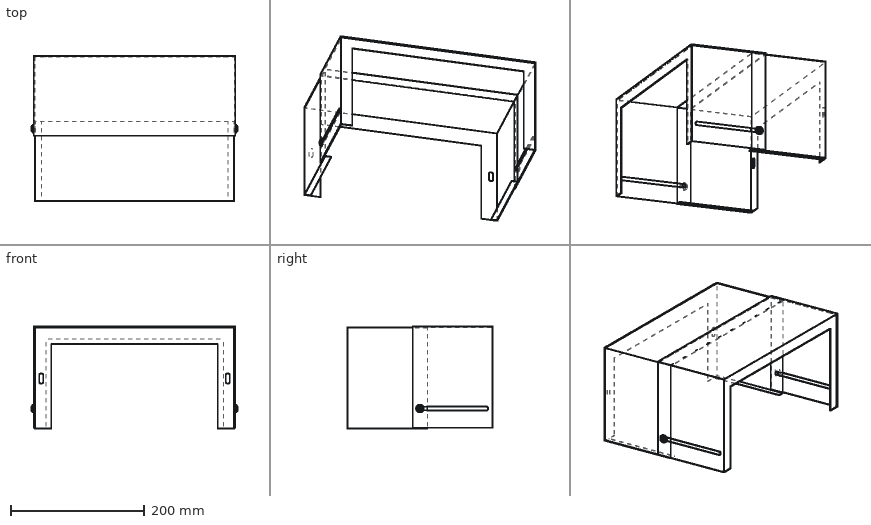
import cadquery as cq
import math

inner_sheet = 0.8
outer_sheet = 1.5
total_depth = 218.0
total_height = 153.0
cover_depth = 120.0
inner_half_width = 149.7
outer_bottom = 1.2
front_flange_width = 25.0
back_flange_width = 16.7
lip_width = 10.0

frame_hole_width = 6.2
frame_hole_height = 15.5
frame_hole_inset = 10.0
frame_hole_z = 75.0

slot_height = 5.5
slot_back_inset = 9.5

screw_span = 310.0
screw_inset = 11.0
screw_z = 30.0
shank_diameter = 5.0
washer_diameter = 11.8
washer_thickness = 1.5
head_diameter = 10.0
head_flat_diameter = 2.8
recess_length = 6.0
recess_width = 1.2
recess_depth = 1.0

outer_half_width = inner_half_width + outer_sheet
inner_height = total_height - outer_sheet
outer_front = total_depth - cover_depth
screw_y = outer_front + screw_inset
slot_back_y = total_depth - slot_back_inset
head_base_x = outer_half_width + washer_thickness
head_tip_x = screw_span / 2


def block(x_range, y_range, z_range):
    """Box between the given limits along each axis."""
    (x0, x1), (y0, y1), (z0, z1) = x_range, y_range, z_range
    return cq.Workplane("XY").box(x1 - x0, y1 - y0, z1 - z0, centered=False).translate((x0, y0, z0))


def rod(diameter, x_start, length):
    """Cylinder along +X on the screw axis."""
    return cq.Workplane("YZ", origin=(x_start, screw_y, screw_z)).circle(diameter / 2).extrude(length)


def make_outer_cover():
    """Rear cover: top, slotted side walls, and a frame around the rear opening."""
    half = outer_half_width
    body = block((-half, half), (outer_front, total_depth), (outer_bottom, total_height))

    back_plate_y = total_depth - outer_sheet
    cavity = block(
        (-inner_half_width, inner_half_width),
        (outer_front, back_plate_y),
        (outer_bottom, inner_height),
    )

    opening_half = inner_half_width - back_flange_width
    opening = block(
        (-opening_half, opening_half),
        (back_plate_y, total_depth),
        (outer_bottom, inner_height - back_flange_width),
    )

    slots = (
        cq.Workplane("YZ", origin=(-half, (screw_y + slot_back_y) / 2, screw_z))
        .slot2D(slot_back_y - screw_y + slot_height, slot_height)
        .extrude(2 * half)
    )
    return body.cut(cavity).cut(opening).cut(slots)


def make_inner_cover():
    """Front cover: top, side walls with bottom lips, and a frame around the front opening."""
    half = inner_half_width
    body = block((-half, half), (0, cover_depth), (0, inner_height))

    cavity_half = half - inner_sheet
    cavity = block(
        (-cavity_half, cavity_half),
        (inner_sheet, cover_depth),
        (inner_sheet, inner_height - inner_sheet),
    )

    lip_edge = half - lip_width
    underside = block((-lip_edge, lip_edge), (inner_sheet, cover_depth), (0, inner_sheet))

    opening_half = half - front_flange_width
    opening = block((-opening_half, opening_half), (0, inner_sheet), (0, inner_height - front_flange_width))

    hole_x = half - frame_hole_inset
    frame_holes = (
        cq.Workplane("XZ", origin=(0, 0, frame_hole_z))
        .pushPoints([(-hole_x, 0), (hole_x, 0)])
        .slot2D(frame_hole_height, frame_hole_width, 90)
        .extrude(-inner_sheet)
    )

    screw_holes = rod(shank_diameter, -half, 2 * half)
    return body.cut(cavity).cut(underside).cut(opening).cut(frame_holes).cut(screw_holes)


def make_washer():
    """Flat washer on the +X side, against the rear cover."""
    disc = rod(washer_diameter, outer_half_width, washer_thickness)
    return disc.cut(rod(shank_diameter, outer_half_width, washer_thickness))


def make_screw():
    """Domed cross-recess screw on the +X side, its shank ending flush inside the front cover."""
    shank_start = inner_half_width - inner_sheet
    shank_radius = shank_diameter / 2
    head_radius = head_diameter / 2
    flat_radius = head_flat_diameter / 2
    head_height = head_tip_x - head_base_x

    centre_offset = (head_height**2 + flat_radius**2 - head_radius**2) / (2 * head_height)
    centre_x = head_base_x + centre_offset
    dome_radius = math.hypot(centre_offset, head_radius)
    rim_angle = math.atan2(head_radius, -centre_offset)
    flat_angle = math.atan2(flat_radius, head_height - centre_offset)
    middle_angle = (rim_angle + flat_angle) / 2
    dome_middle = (
        centre_x + dome_radius * math.cos(middle_angle),
        dome_radius * math.sin(middle_angle),
    )
    screw = (
        cq.Workplane("XY")
        .moveTo(shank_start, 0)
        .lineTo(shank_start, shank_radius)
        .lineTo(head_base_x, shank_radius)
        .lineTo(head_base_x, head_radius)
        .threePointArc(dome_middle, (head_tip_x, flat_radius))
        .lineTo(head_tip_x, 0)
        .close()
        .revolve(360, (0, 0, 0), (1, 0, 0))
        .translate((0, screw_y, screw_z))
    )

    for y_size, z_size in ((recess_length, recess_width), (recess_width, recess_length)):
        arm = block(
            (head_tip_x - recess_depth, head_tip_x),
            (screw_y - y_size / 2, screw_y + y_size / 2),
            (screw_z - z_size / 2, screw_z + z_size / 2),
        )
        screw = screw.cut(arm)
    return screw


def both_sides(body):
    """The +X body and its mirror image on the -X side, as two solids."""
    return [body.val(), body.mirror("YZ").val()]


outer_cover = make_outer_cover()
inner_cover = make_inner_cover()
washers = both_sides(make_washer())
screws = both_sides(make_screw())

result = cq.Compound.makeCompound([outer_cover.val(), inner_cover.val(), *washers, *screws])